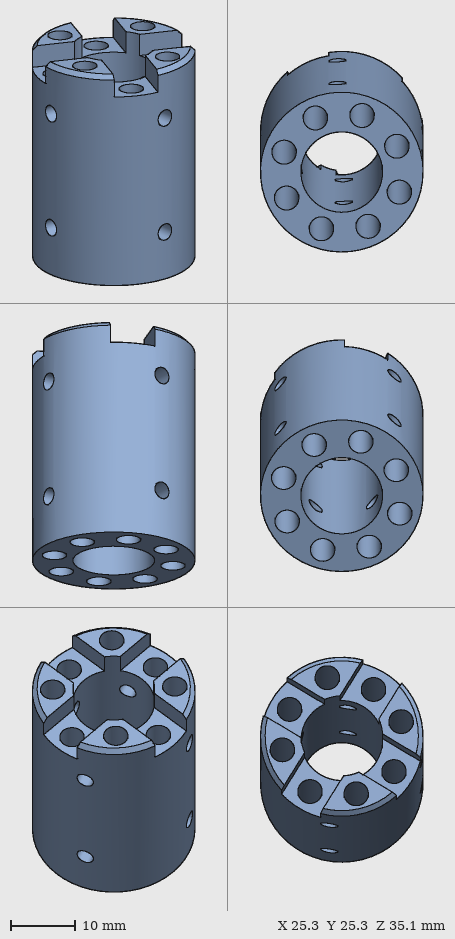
import cadquery as cq

height = 35.05
outer_diameter = 25.27
bore_diameter = 12.7
top_chamfer = 0.75

slot_width = 7.08
slot_depth = 3.55

axial_hole_count = 8
axial_hole_diameter = 3.8
axial_circle_radius = (outer_diameter + bore_diameter) / 4

radial_hole_count = 4
radial_hole_diameter = 2.7
radial_hole_levels = (7.85, 26.9)
radial_start_angle = 180 / axial_hole_count


def make_sleeve():
    body = cq.Workplane("XY").circle(outer_diameter / 2).extrude(height)
    body = body.faces(">Z").edges().chamfer(top_chamfer)
    bore = cq.Workplane("XY").circle(bore_diameter / 2).extrude(height)
    return body.cut(bore)


def make_cross_slots():
    slot = (
        cq.Workplane("XY")
        .workplane(offset=height - slot_depth)
        .rect(outer_diameter, slot_width)
        .extrude(slot_depth)
    )
    return slot.union(slot.rotate((0, 0, 0), (0, 0, 1), 90))


def make_axial_holes():
    return (
        cq.Workplane("XY")
        .polarArray(axial_circle_radius, 0, 360, axial_hole_count)
        .circle(axial_hole_diameter / 2)
        .extrude(height)
    )


def make_radial_hole(angle, level):
    """Cylinder from the axis out through the wall at the given angle and height."""
    hole = (
        cq.Workplane("YZ")
        .center(0, level)
        .circle(radial_hole_diameter / 2)
        .extrude(outer_diameter)
    )
    return hole.rotate((0, 0, 0), (0, 0, 1), angle)


result = make_sleeve().cut(make_cross_slots()).cut(make_axial_holes())
for index in range(radial_hole_count):
    hole_angle = radial_start_angle + index * 360 / radial_hole_count
    for hole_level in radial_hole_levels:
        result = result.cut(make_radial_hole(hole_angle, hole_level))